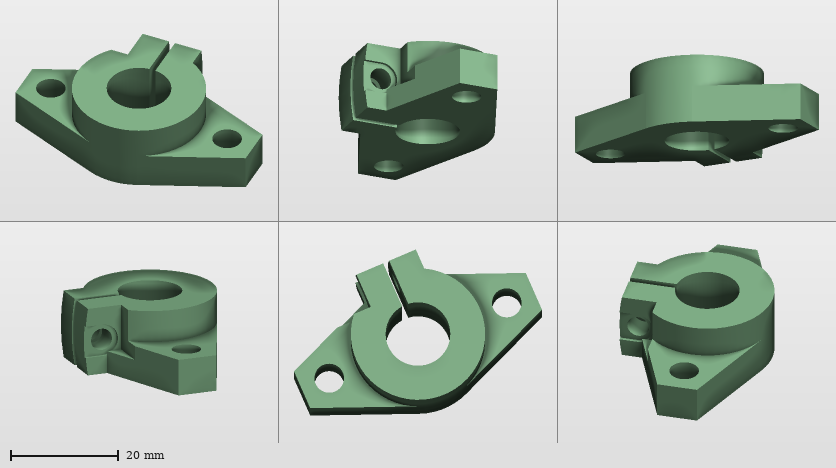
import cadquery as cq
import math

length = 47.0
height = 13.0
ring_radius = 12.5
bore_diameter = 12.05

flange_thickness = 6.95
flange_end_width = 7.6
mount_hole_diameter = 5.5
mount_hole_spacing = 36.0

clamp_width = 12.05
clamp_tip_y = 15.45
clamp_crown = 0.55
slit_width = 1.2

screw_hole_diameter = 4.2
screw_y = 11.95
screw_z = height / 2
recess_width = 6.1
recess_depth = 0.6
notch_floor_z = 4.3
notch_y = 8.22

cut_reach = length


def make_flange():
    """Plate whose sloping sides run tangent to the ring."""
    end_x = length / 2
    end_y = flange_end_width / 2
    tangent_angle = math.atan2(end_y, end_x) + math.acos(ring_radius / math.hypot(end_x, end_y))
    tangent_x = ring_radius * math.cos(tangent_angle)
    tangent_y = ring_radius * math.sin(tangent_angle)
    return (
        cq.Workplane("XY")
        .moveTo(-end_x, -end_y)
        .lineTo(-tangent_x, -tangent_y)
        .lineTo(tangent_x, -tangent_y)
        .lineTo(end_x, -end_y)
        .lineTo(end_x, end_y)
        .lineTo(tangent_x, tangent_y)
        .lineTo(-tangent_x, tangent_y)
        .lineTo(-end_x, end_y)
        .close()
        .extrude(flange_thickness)
    )


def make_clamp():
    """Clamp block with a crowned outer end, extruded across X."""
    edge_y = clamp_tip_y - clamp_crown
    return (
        cq.Workplane("YZ")
        .lineTo(edge_y, 0)
        .threePointArc((clamp_tip_y, height / 2), (edge_y, height))
        .lineTo(0, height)
        .close()
        .extrude(clamp_width / 2, both=True)
    )


def make_notch():
    """Clearance beside the clamp, above the notch floor on the -X side."""
    return cq.Workplane("XY").box(cut_reach, cut_reach, height, centered=False).translate(
        (-clamp_width / 2 - cut_reach, notch_y, notch_floor_z)
    )


def make_nut_recess():
    """Round-bottomed recess in the -X face of the clamp, open at its tip."""
    radius = recess_width / 2
    return (
        cq.Workplane("YZ", origin=(-clamp_width / 2, screw_y, screw_z))
        .moveTo(cut_reach, radius)
        .lineTo(0, radius)
        .threePointArc((-radius, 0), (0, -radius))
        .lineTo(cut_reach, -radius)
        .close()
        .extrude(recess_depth)
    )


ring = cq.Workplane("XY").circle(ring_radius).extrude(height)
bore = cq.Workplane("XY").circle(bore_diameter / 2).extrude(height)
mount_holes = (
    cq.Workplane("XY")
    .pushPoints([(-mount_hole_spacing / 2, 0), (mount_hole_spacing / 2, 0)])
    .circle(mount_hole_diameter / 2)
    .extrude(height)
)
slit = cq.Workplane("XY").box(slit_width, cut_reach, height, centered=(True, False, False))
screw_hole = (
    cq.Workplane("YZ", origin=(0, screw_y, screw_z))
    .circle(screw_hole_diameter / 2)
    .extrude(cut_reach, both=True)
)

result = ring.union(make_flange()).union(make_clamp())
for cutter in (bore, mount_holes, slit, make_notch(), make_nut_recess(), screw_hole):
    result = result.cut(cutter)